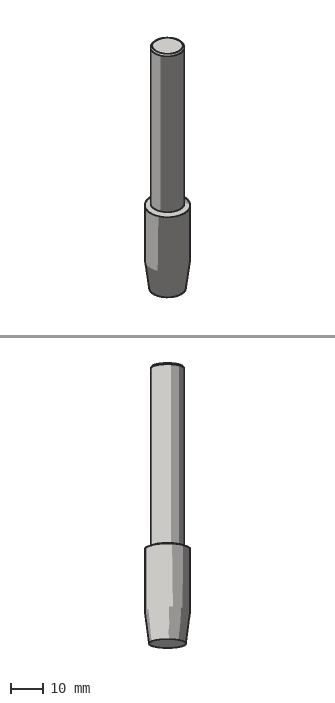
import cadquery as cq

total_height = 88.0
rod_radius = 10.5 / 2
rod_chamfer_width = 0.5
rod_chamfer_height = 0.6

collar_radius = 14.0 / 2
tip_radius = 11.4 / 2
taper_height = 10.0
shoulder_edge_height = 30.0
collar_height = 30.7


def revolve_about_z(profile):
    """Solid of revolution from (radius, height) points."""
    return cq.Workplane("XZ").polyline(profile).close().revolve(360, (0, 0), (0, 1))


def make_collar():
    """Collar with a tapered lower end and a shoulder sloping up to a flat seat for the rod."""
    return revolve_about_z([
        (0, 0),
        (tip_radius, 0),
        (collar_radius, taper_height),
        (collar_radius, shoulder_edge_height),
        (rod_radius, collar_height),
        (0, collar_height),
    ])


def make_rod():
    """Round rod standing on the seat of the collar, chamfered at its free end."""
    return revolve_about_z([
        (0, collar_height),
        (rod_radius, collar_height),
        (rod_radius, total_height - rod_chamfer_height),
        (rod_radius - rod_chamfer_width, total_height),
        (0, total_height),
    ])


collar = make_collar()
rod = make_rod()

result = cq.Compound.makeCompound([collar.val(), rod.val()])